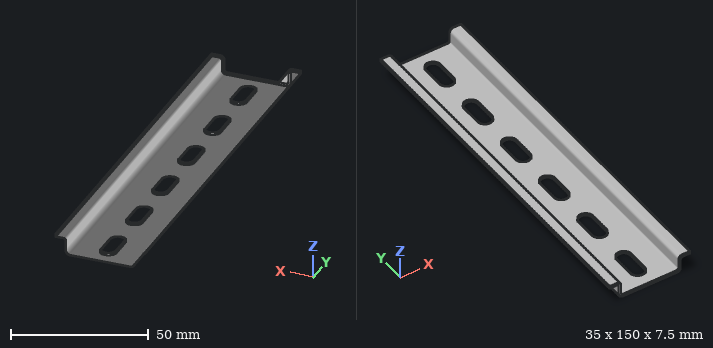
import cadquery as cq

length = 150.0
width = 35.0
height = 7.5
thickness = 1.0
channel_width = 27.0

inner_bend_radius = 0.8
outer_bend_radius = inner_bend_radius + thickness

slot_count = 6
slot_pitch = length / slot_count
slot_length = 15.0
slot_width = 6.2


def block(x_size, z_bottom, z_top):
    """Full-length block centred on X and Y between two heights."""
    return (
        cq.Workplane("XY", origin=(0, 0, z_bottom))
        .rect(x_size, length)
        .extrude(z_top - z_bottom)
    )


def bend_edges(x_position, z_position):
    """Selector for the pair of lengthwise edges at +/- x_position."""
    reach = 0.02
    selector = None
    for side in (-1, 1):
        x = side * x_position
        box = cq.selectors.BoxSelector(
            (x - reach, -reach, z_position - reach),
            (x + reach, reach, z_position + reach),
        )
        selector = box if selector is None else selector + box
    return selector


def make_rail():
    """Channel of constant thickness with outward flanges and rounded bends."""
    outer_half = channel_width / 2
    inner_half = outer_half - thickness
    flange_bottom = height - thickness

    rail = block(channel_width, 0, flange_bottom)
    rail = rail.union(block(width, flange_bottom, height))
    rail = rail.cut(block(2 * inner_half, thickness, height))

    rail = rail.edges(bend_edges(outer_half, 0)).fillet(outer_bend_radius)
    rail = rail.edges(bend_edges(inner_half, thickness)).fillet(inner_bend_radius)
    rail = rail.edges(bend_edges(inner_half, height)).fillet(outer_bend_radius)
    return rail.edges(bend_edges(outer_half, flange_bottom)).fillet(inner_bend_radius)


def make_slots():
    """Row of lengthwise mounting slots through the floor."""
    return (
        cq.Workplane("XY")
        .rarray(1.5, slot_pitch, 1, slot_count)
        .slot2D(slot_length, slot_width, 90)
        .extrude(thickness)
    )


result = make_rail().cut(make_slots())